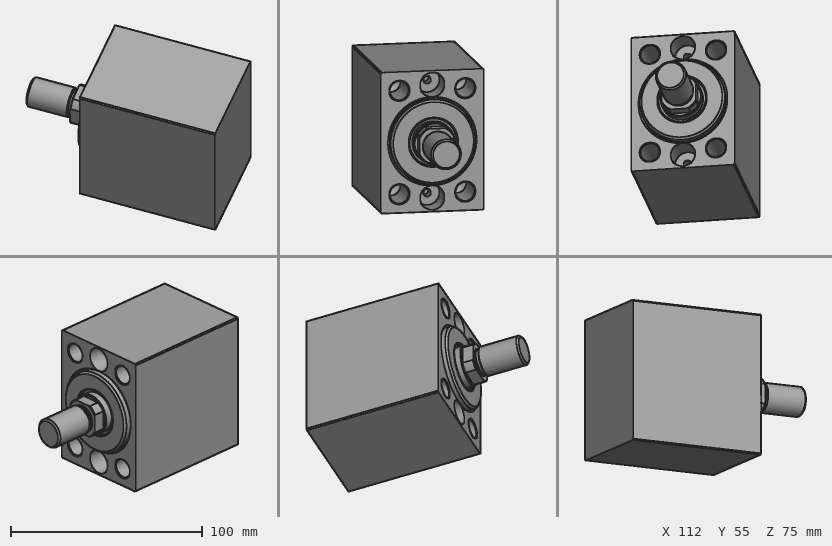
import cadquery as cq
import math


BLOCK_FRONT = 37.0
BLOCK_BACK = 112.0
BLOCK_WIDTH = 55.0
BLOCK_HEIGHT = 75.0
BLOCK_CHAMFER = 0.7
BLOCK_LENGTH = BLOCK_BACK - BLOCK_FRONT

HOLE_RADIUS = 5.0
HOLE_MOUTH_RADIUS = 5.5
HOLE_DEPTH = 22.4
HOLE_SPACING_Y = 35.0
HOLE_SPACING_Z = 55.0
DRILL_POINT_ANGLE = 118.0

PORT_DIAMETER = 13.0
PORT_DEPTH = 13.4
PORT_SPACING = 60.0
PASSAGE_DIAMETER = 4.0
PASSAGE_DEPTH = 6.7

GLAND_RADIUS = 22.5
GLAND_PROJECTION = 3.0
GLAND_CHAMFER = 1.1
SEAT_DEPTH = 13.4
SEAT_MOUTH_CHAMFER = 1.1
GLAND_FRONT = BLOCK_FRONT - GLAND_PROJECTION
SEAT_FLOOR = BLOCK_FRONT + SEAT_DEPTH

ROD_RADIUS = 11.0
ROD_FRONT = 31.1
ROD_CHAMFER = 0.5
STUD_DIAMETER = 16.0
STUD_RADIUS = STUD_DIAMETER / 2
STUD_LENGTH = 22.6
STUD_CHAMFER = 0.95
NECK_RADIUS = 7.0
NECK_END_CHAMFER = 0.5
WRENCH_FRONT = 25.0
WRENCH_RADIUS = 10.4
WRENCH_CHAMFER = 0.3
WRENCH_FLATS = 18.0

WIPER_RADIUS = 12.5
WIPER_FRONT_DEPTH = 1.7
WIPER_BACK_DEPTH = 4.5
WIPER_STEP_DIAMETER = 26.3
WIPER_STEP_DEPTH = 0.5


def x_cylinder(radius, start, end):
    """Solid cylinder on the X axis."""
    return cq.Workplane("YZ", origin=(start, 0, 0)).circle(radius).extrude(end - start)


def x_revolve(profile):
    """Solid of revolution about the X axis from (x, radius) points."""
    return cq.Workplane("XY").polyline(profile).close().revolve(360, (0, 0, 0), (1, 0, 0))


def make_block():
    face = cq.Workplane("YZ", origin=(BLOCK_FRONT, 0, 0)).rect(BLOCK_WIDTH, BLOCK_HEIGHT)
    block = face.extrude(BLOCK_LENGTH)
    return block.edges("|X").chamfer(BLOCK_CHAMFER)


def make_gland_seat():
    return x_revolve([
        (BLOCK_FRONT, 0),
        (BLOCK_FRONT, GLAND_RADIUS + SEAT_MOUTH_CHAMFER),
        (BLOCK_FRONT + SEAT_MOUTH_CHAMFER, GLAND_RADIUS),
        (SEAT_FLOOR, GLAND_RADIUS),
        (SEAT_FLOOR, 0),
    ])


def make_corner_hole():
    mouth_chamfer = HOLE_MOUTH_RADIUS - HOLE_RADIUS
    hole_end = BLOCK_FRONT + HOLE_DEPTH
    point_length = HOLE_RADIUS / math.tan(math.radians(DRILL_POINT_ANGLE / 2))
    return x_revolve([
        (BLOCK_FRONT, 0),
        (BLOCK_FRONT, HOLE_MOUTH_RADIUS),
        (BLOCK_FRONT + mouth_chamfer, HOLE_RADIUS),
        (hole_end, HOLE_RADIUS),
        (hole_end + point_length, 0),
    ])


def make_port():
    floor = BLOCK_FRONT + PORT_DEPTH
    port = x_cylinder(PORT_DIAMETER / 2, BLOCK_FRONT, floor)
    return port.union(x_cylinder(PASSAGE_DIAMETER / 2, floor, floor + PASSAGE_DEPTH))


def make_housing():
    housing = make_block().cut(make_gland_seat())
    for side in (-1, 1):
        for level in (-1, 1):
            place = (0, side * HOLE_SPACING_Y / 2, level * HOLE_SPACING_Z / 2)
            housing = housing.cut(make_corner_hole().translate(place))
    for level in (-1, 1):
        housing = housing.cut(make_port().translate((0, 0, level * PORT_SPACING / 2)))
    return housing


def make_gland():
    gland = x_cylinder(GLAND_RADIUS, GLAND_FRONT, SEAT_FLOOR).faces("<X").chamfer(GLAND_CHAMFER)
    gland = gland.cut(x_cylinder(ROD_RADIUS, GLAND_FRONT, SEAT_FLOOR))
    gland = gland.cut(x_cylinder(WIPER_RADIUS, GLAND_FRONT, GLAND_FRONT + WIPER_BACK_DEPTH))
    return gland.cut(x_cylinder(WIPER_STEP_DIAMETER / 2, GLAND_FRONT, GLAND_FRONT + WIPER_STEP_DEPTH))


def make_wiper():
    wiper = x_cylinder(WIPER_RADIUS, GLAND_FRONT + WIPER_FRONT_DEPTH, GLAND_FRONT + WIPER_BACK_DEPTH)
    return wiper.cut(x_cylinder(ROD_RADIUS, GLAND_FRONT, SEAT_FLOOR))


def make_rod():
    rod = x_revolve([
        (0, 0),
        (0, STUD_RADIUS - STUD_CHAMFER),
        (STUD_CHAMFER, STUD_RADIUS),
        (STUD_LENGTH, STUD_RADIUS),
        (STUD_LENGTH, NECK_RADIUS + NECK_END_CHAMFER),
        (STUD_LENGTH + NECK_END_CHAMFER, NECK_RADIUS),
        (WRENCH_FRONT - NECK_END_CHAMFER, NECK_RADIUS),
        (WRENCH_FRONT, NECK_RADIUS + NECK_END_CHAMFER),
        (WRENCH_FRONT, WRENCH_RADIUS - WRENCH_CHAMFER),
        (WRENCH_FRONT + WRENCH_CHAMFER, WRENCH_RADIUS),
        (ROD_FRONT, WRENCH_RADIUS),
        (ROD_FRONT, ROD_RADIUS - ROD_CHAMFER),
        (ROD_FRONT + ROD_CHAMFER, ROD_RADIUS),
        (SEAT_FLOOR, ROD_RADIUS),
        (SEAT_FLOOR, 0),
    ])
    square = (
        cq.Workplane("YZ", origin=(WRENCH_FRONT, 0, 0))
        .rect(WRENCH_FLATS, WRENCH_FLATS)
        .extrude(ROD_FRONT - WRENCH_FRONT)
    )
    around_flats = x_cylinder(ROD_RADIUS, WRENCH_FRONT, ROD_FRONT).cut(square)
    return rod.cut(around_flats)


housing = make_housing()
gland = make_gland()
rod = make_rod()
wiper = make_wiper()

result = cq.Compound.makeCompound([housing.val(), gland.val(), rod.val(), wiper.val()])